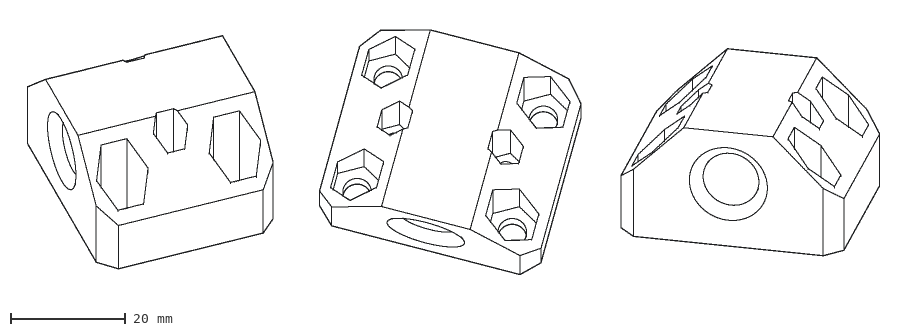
import cadquery as cq

length = 40.0
width = 33.0
height = 22.0
top_width = 16.0
corner_chamfer = 3.0
flank_run = (length - top_width) / 2
shoulder_height = height - flank_run

bore_diameter = 10.0
bore_height = 12.0
entry_diameter = 14.0
entry_depth = (entry_diameter - bore_diameter) / 2

corner_hole_diameter = 5.0
corner_nut_diameter = 9.6
corner_spacing_x = 28.0
corner_spacing_y = 21.0

middle_hole_diameter = 3.2
middle_nut_diameter = 6.4
middle_spacing_x = 20.0

pocket_floor_height = 4.0


def make_block():
    """Block with two sloping flanks and its four vertical corners cut off."""
    profile = (
        cq.Workplane("XZ", origin=(0, width / 2, 0))
        .moveTo(-length / 2, 0)
        .lineTo(length / 2, 0)
        .lineTo(length / 2, shoulder_height)
        .lineTo(top_width / 2, height)
        .lineTo(-top_width / 2, height)
        .lineTo(-length / 2, shoulder_height)
        .close()
        .extrude(width)
    )
    plan = (
        cq.Workplane("XY")
        .rect(length, width)
        .extrude(height)
        .edges("|Z")
        .chamfer(corner_chamfer)
    )
    return profile.intersect(plan)


def make_bore():
    """Through bore along Y, flared at both ends: half an axial section revolved about the bore axis."""
    bore_radius = bore_diameter / 2
    entry_radius = entry_diameter / 2
    end = width / 2
    return (
        cq.Workplane("XY", origin=(0, 0, bore_height))
        .moveTo(0, -end)
        .lineTo(entry_radius, -end)
        .lineTo(bore_radius, -end + entry_depth)
        .lineTo(bore_radius, end - entry_depth)
        .lineTo(entry_radius, end)
        .lineTo(0, end)
        .close()
        .revolve(360, (0, 0, 0), (0, 1, 0))
    )


def make_nut_holes(points, hole_diameter, nut_diameter):
    """Through holes with hexagonal pockets open upward, two hexagon flats facing along X."""
    holes = cq.Workplane("XY").pushPoints(points).circle(hole_diameter / 2).extrude(height)
    hexagons = cq.Sketch().push(points).regularPolygon(nut_diameter / 2, 6)
    pockets = (
        cq.Workplane("XY", origin=(0, 0, pocket_floor_height))
        .placeSketch(hexagons)
        .extrude(height - pocket_floor_height)
    )
    return holes.union(pockets)


corner_points = [
    (x_side * corner_spacing_x / 2, y_side * corner_spacing_y / 2)
    for x_side in (-1, 1)
    for y_side in (-1, 1)
]
middle_points = [(x_side * middle_spacing_x / 2, 0) for x_side in (-1, 1)]

corner_holes = make_nut_holes(corner_points, corner_hole_diameter, corner_nut_diameter)
middle_holes = make_nut_holes(middle_points, middle_hole_diameter, middle_nut_diameter)

result = make_block().cut(make_bore()).cut(corner_holes).cut(middle_holes)